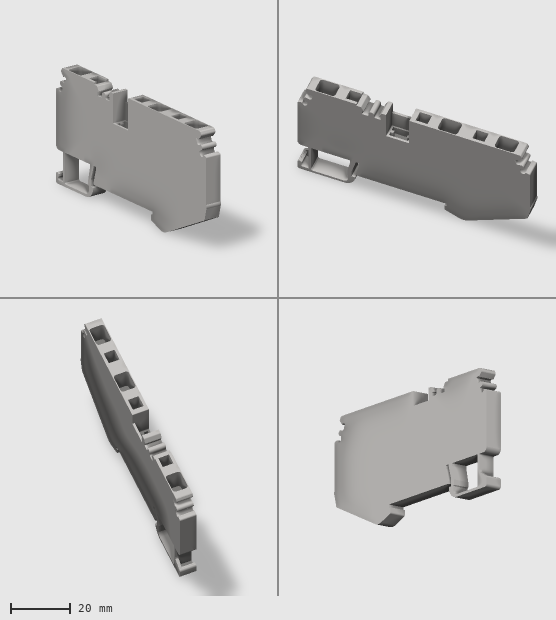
import cadquery as cq


thickness = 6.0
height = 42.0
body_width = 84.35
bulge_x = 84.6
shoulder_z = 33.8
flank_top_z = 33.3
lip_start_x = 3.9
body_bottom_z = 12.2
rail_z = 5.5
rail_left_x = 21.15
rail_right_x = 54.1
rail_nose_x = 53.3
catch_z = 4.3
overcut = 0.85

marker_center_x = 26.8
marker_top_z = 41.2
marker_floor_z = 37.8
marker_lip_z = 39.25
marker_lip_height = 0.3
marker_slot_half = 3.4
marker_lip_half = 2.8
marker_mouth_half = 3.6
marker_mouth_round = 0.5
marker_mouth_drop = 0.25
rib_half = 1.0
rib_foot_radius = 0.5
rib_top_z = 40.0
step_x = 21.4

recess_left_x = 32.15
recess_right_x = 40.5
recess_floor_z = 30.45
recess_wall = 0.85
recess_wall_top_z = 36.8
recess_edge_radius = 0.25

socket_length = 6.9
socket_width = 3.8
socket_depth = 3.0
socket_center_x = (recess_left_x + recess_right_x) / 2
socket_center_y = 2.7
tab_length = 1.0
tab_width = 1.0

opening_depth = 8.5
wire_length = 7.2
wire_width = 5.4
wire_corner = 1.0
wire_centers_x = (9.7, 54.1, 74.7)
tool_length = 4.3
tool_width = 3.9
tool_centers_x = (step_x - tool_length / 2, 44.6, 65.1)

strut_left_x = 4.1
strut_right_x = 4.9
strut_fillet = 0.4
foot_floor_z = 0.9
foot_corner_radius = 0.9
spring_x = 19.6
spring_waist_x = 18.1
spring_root_x = 18.45
spring_top_right_x = 21.2
spring_top_left_x = 19.1
slit_right_x = 22.4
pocket_floor_z = 1.4
pocket_left_x = 0.85
web_thickness = 1.1
web_top_z = 6.7
hook_top_z = 4.0


def plate(outline, depth=thickness):
    """Extrude a closed XZ outline from the front face towards +Y."""
    return outline.close().extrude(-depth)


def box(x_min, x_max, y_min, y_max, z_min, z_max):
    size = (x_max - x_min, y_max - y_min, z_max - z_min)
    return cq.Workplane().box(*size, centered=False).translate((x_min, y_min, z_min))


def housing():
    """Main plate, with the rail catch and the sloping lower right side."""
    outline = (
        cq.Workplane("XZ")
        .moveTo(0, height)
        .lineTo(body_width, height)
        .lineTo(body_width, 16.75)
        .threePointArc((bulge_x, 16.0), (84.4, 15.3))
        .lineTo(83.4, 11.2)
        .threePointArc((83.3, 10.9), (83.1, 10.75))
        .lineTo(61.9, 0.4)
        .threePointArc((60.15, 0), (58.55, 0.25))
        .lineTo(53.7, 2.1)
        .threePointArc((53.4, 2.4), (rail_nose_x, 2.7))
        .lineTo(rail_nose_x, catch_z)
        .lineTo(rail_right_x, catch_z)
        .lineTo(rail_right_x, rail_z)
        .lineTo(rail_left_x, rail_z)
        .lineTo(rail_left_x, 6.4)
        .lineTo(slit_right_x, 10.9)
        .lineTo(slit_right_x, body_bottom_z)
        .lineTo(1.6, body_bottom_z)
        .threePointArc((0.5, 12.7), (0, 13.8))
    )
    return plate(outline)


def corner_notch():
    """Space outside the left upper corner: two round slots with a bead between them."""
    outline = (
        cq.Workplane("XZ")
        .moveTo(lip_start_x, height)
        .threePointArc((3.6, 41.9), (3.4, 41.7))
        .lineTo(3.0, 41.0)
        .threePointArc((2.9, 40.7), (3.0, 40.35))
        .lineTo(4.15, 38.9)
        .threePointArc((4.5, 39.2), (4.9, 39.2))
        .lineTo(5.75, 38.8)
        .lineTo(5.2, 37.4)
        .tangentArcPoint((4.3, 36.8), relative=False)
        .lineTo(3.6, 37.05)
        .threePointArc((2.3, 36.0), (2.8, 35.4))
        .lineTo(3.6, 34.9)
        .threePointArc((3.5, 33.7), (2.5, 33.0))
        .threePointArc((1.95, 33.3), (1.7, 34.0))
        .lineTo(1.35, 34.1)
        .threePointArc((0.9, 33.9), (0.5, shoulder_z))
        .threePointArc((0.2, 33.7), (0, flank_top_z))
        .lineTo(-overcut, flank_top_z)
        .lineTo(-overcut, height + overcut)
        .lineTo(lip_start_x, height + overcut)
    )
    return plate(outline)


def marker_groove():
    """Undercut groove with a round-topped rib in its middle, and the lowered top around it."""
    lip_top_z = marker_lip_z + marker_lip_height
    round_start_z = marker_top_z - marker_mouth_drop
    round_end = marker_mouth_half + marker_mouth_round
    round_middle = (marker_mouth_half + marker_mouth_round / 3, marker_top_z - marker_mouth_drop / 3)
    half_outline = (
        cq.Workplane("XZ")
        .moveTo(0, rib_top_z)
        .radiusArc((rib_half, rib_top_z - rib_half), rib_half)
        .lineTo(rib_half, marker_floor_z + rib_foot_radius)
        .radiusArc((rib_half + rib_foot_radius, marker_floor_z), -rib_foot_radius)
        .lineTo(marker_slot_half, marker_floor_z)
        .lineTo(marker_slot_half, marker_lip_z)
        .lineTo(marker_lip_half, marker_lip_z)
        .lineTo(marker_lip_half, lip_top_z)
        .lineTo(marker_mouth_half, round_start_z)
        .threePointArc(round_middle, (round_end, marker_top_z))
        .lineTo(0, marker_top_z)
    )
    right_half = plate(half_outline)
    groove = right_half.union(right_half.mirror("YZ")).translate((marker_center_x, 0, 0))
    lowered_top = box(step_x, recess_left_x, 0, thickness, marker_top_z, height)
    return lowered_top.union(groove)


def recess():
    """Notch in the top edge, with the low back wall left standing."""
    back_y = thickness - recess_wall
    front = box(recess_left_x, recess_right_x, 0, back_y, recess_floor_z, height)
    front = front.faces("<Z").edges("|Y").fillet(recess_edge_radius)
    above_wall = box(recess_left_x, recess_right_x, back_y, thickness, recess_wall_top_z, height)
    return front.union(above_wall)


def socket():
    """Rectangular hole in the notch floor, with a tab reaching in from each end."""
    hole = cq.Workplane().rect(socket_length, socket_width).extrude(-socket_depth)
    tab_offset = (socket_length - tab_length) / 2
    tabs = (
        cq.Workplane()
        .pushPoints([(-tab_offset, 0), (tab_offset, 0)])
        .rect(tab_length, tab_width)
        .extrude(-socket_depth)
    )
    return hole.cut(tabs).translate((socket_center_x, socket_center_y, recess_floor_z))


def top_openings(centers_x, length, width):
    """Row of rectangular blind holes sunk from the top face."""
    points = [(x, thickness / 2) for x in centers_x]
    return (
        cq.Workplane()
        .workplane(offset=height)
        .pushPoints(points)
        .rect(length, width)
        .extrude(-opening_depth)
    )


def foot():
    """Thin strut, floor and curved spring arm around an open window, with a hook at the left."""
    outer_outline = (
        cq.Workplane("XZ")
        .moveTo(strut_left_x - strut_fillet, body_bottom_z)
        .radiusArc((strut_left_x, body_bottom_z - strut_fillet), strut_fillet)
        .lineTo(strut_left_x, web_top_z)
        .lineTo(3.9, 5.9)
        .lineTo(0.7, hook_top_z)
        .threePointArc((0.2, 3.6), (0, 3.05))
        .lineTo(0, foot_corner_radius)
        .radiusArc((foot_corner_radius, 0), -foot_corner_radius)
        .lineTo(17.3, 0)
        .threePointArc((19.4, 0.9), (21.0, catch_z))
        .lineTo(spring_x, catch_z)
        .lineTo(spring_x, 6.8)
        .lineTo(spring_top_right_x, body_bottom_z)
    )
    window_outline = (
        cq.Workplane("XZ")
        .moveTo(strut_right_x, body_bottom_z)
        .lineTo(spring_top_left_x, body_bottom_z)
        .lineTo(spring_top_left_x, 11.2)
        .lineTo(spring_waist_x, 6.35)
        .lineTo(spring_waist_x, 4.5)
        .lineTo(spring_root_x, 4.15)
        .lineTo(spring_root_x, 2.3)
        .threePointArc((17.85, 1.4), (16.75, foot_floor_z))
        .lineTo(5.3, foot_floor_z)
        .lineTo(strut_right_x, 1.35)
    )
    pocket_outline = (
        cq.Workplane("XZ")
        .moveTo(strut_left_x, web_top_z)
        .lineTo(strut_left_x, pocket_floor_z)
        .lineTo(1.8, pocket_floor_z)
        .threePointArc((1.35, 1.7), (1.3, 2.1))
        .lineTo(1.6, 2.7)
        .lineTo(1.6, 3.55)
        .lineTo(pocket_left_x, hook_top_z)
        .lineTo(pocket_left_x, web_top_z)
    )
    pocket = plate(pocket_outline, depth=thickness - web_thickness)
    return plate(outer_outline).cut(plate(window_outline)).cut(pocket)


left_notch = corner_notch()
right_notch = left_notch.mirror("YZ").translate((body_width, 0, 0))
wire_openings = top_openings(wire_centers_x, wire_length, wire_width).edges("|Z").fillet(wire_corner)
tool_openings = top_openings(tool_centers_x, tool_length, tool_width)

result = housing().union(foot())
for cutter in (
    left_notch,
    right_notch,
    marker_groove(),
    recess(),
    socket(),
    wire_openings,
    tool_openings,
):
    result = result.cut(cutter)

recess_top_edge = cq.selectors.NearestToPointSelector((recess_right_x, thickness / 2, height))
result = result.edges(recess_top_edge).fillet(recess_edge_radius)